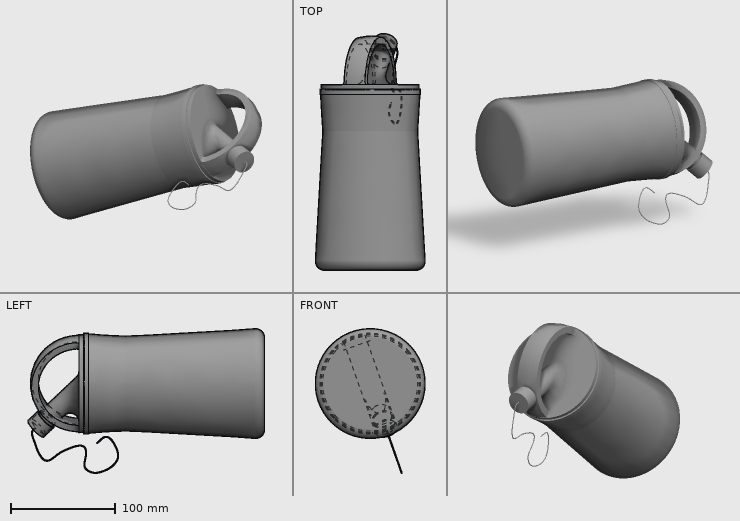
import cadquery as cq
import math

base_radius = 52.75
base_rounding = 9.0
waist_radius = 45.6
waist_height = 133.3
shoulder_radius = 47.8
shoulder_height = 168.9
neck_radius = 47.4
neck_height = 4.0

rim_radius = 48.4
rim_height = 4.9
disc_radius = 47.0
disc_height = 4.4
lid_top = shoulder_height + rim_height + disc_height

handle_inner_radius = 38.8
handle_edge_radius = 45.3
handle_crown_radius = 46.7
handle_half_width = 10.7
handle_foot_fillet = 2.8

spout_radius = 9.5
spout_lean = 45.0
spout_foot_offset = 4.7
spout_foot_fillet = 8.3
spout_handle_fillet = 1.2

cap_radius = 11.0
cap_start = 44.7
cap_length = 13.6
cap_end_wall = 3.0
cap_end = cap_start + cap_length
spout_end = cap_end - cap_end_wall

cord_radius = 0.5

plane_turn = math.radians(19.4)
cord_side = cq.Vector(math.sin(plane_turn), 0, -math.cos(plane_turn))
across = cq.Vector(math.cos(plane_turn), 0, math.sin(plane_turn))
handle_plane = cq.Plane(origin=(0, lid_top, 0), xDir=cord_side, normal=across)

lean = math.radians(spout_lean)


def along_spout(distance):
    """Point on the spout's axis, in handle-plane coordinates."""
    return (spout_foot_offset + distance * math.cos(lean), distance * math.sin(lean))


def disc_along_y(radius, start, height):
    """Round disc about the bottle's axis, rising from the given height."""
    plane = cq.Plane(origin=(0, start, 0), xDir=(1, 0, 0), normal=(0, 1, 0))
    return cq.Workplane(plane).circle(radius).extrude(height)


def spout_rod(radius, start, end):
    """Round rod on the spout's axis between two distances from the lid top."""
    start_point = handle_plane.toWorldCoords(along_spout(start))
    end_point = handle_plane.toWorldCoords(along_spout(end))
    plane = cq.Plane(origin=start_point, xDir=across, normal=end_point - start_point)
    return cq.Workplane(plane).circle(radius).extrude(end - start)


def make_bottle():
    """Turned body with a rounded base edge and a neck that enters the lid."""
    rounding_turn = math.sqrt(0.5)
    rounding_center = base_radius - base_rounding
    rounding_middle = (
        rounding_center + base_rounding * rounding_turn,
        base_rounding * (1 - rounding_turn),
    )
    return (
        cq.Workplane("XY")
        .lineTo(rounding_center, 0)
        .threePointArc(rounding_middle, (base_radius, base_rounding))
        .lineTo(waist_radius, waist_height)
        .lineTo(shoulder_radius, shoulder_height)
        .lineTo(neck_radius, shoulder_height)
        .lineTo(neck_radius, shoulder_height + neck_height)
        .lineTo(0, shoulder_height + neck_height)
        .close()
        .revolve(360, (0, 0, 0), (0, 1, 0))
    )


def make_lid_disc():
    return disc_along_y(disc_radius, lid_top - disc_height, disc_height)


def make_handle_foot(end):
    """Block at one end of the half ring, its two sides flaring out into the lid disc."""
    flare_turn = handle_foot_fillet * (1 - math.sqrt(0.5))
    foot_half_width = handle_half_width + handle_foot_fillet
    outer_point = cord_side * (end * handle_edge_radius) + cq.Vector(0, lid_top, 0)
    plane = cq.Plane(origin=outer_point, xDir=across, normal=cord_side * -end)
    rise = handle_foot_fillet * plane.yDir.y
    turn_rise = flare_turn * plane.yDir.y
    return (
        cq.Workplane(plane)
        .moveTo(-foot_half_width, 0)
        .threePointArc((-handle_half_width - flare_turn, turn_rise), (-handle_half_width, rise))
        .lineTo(handle_half_width, rise)
        .threePointArc((handle_half_width + flare_turn, turn_rise), (foot_half_width, 0))
        .close()
        .extrude(handle_edge_radius - handle_inner_radius)
    )


def make_handle():
    """Lid disc with the half-ring handle and its two flared feet."""
    section_plane = cq.Plane(origin=(0, lid_top, 0), xDir=cord_side, normal=(0, 1, 0))
    half_ring = (
        cq.Workplane(section_plane)
        .moveTo(handle_inner_radius, -handle_half_width)
        .lineTo(handle_edge_radius, -handle_half_width)
        .threePointArc((handle_crown_radius, 0), (handle_edge_radius, handle_half_width))
        .lineTo(handle_inner_radius, handle_half_width)
        .close()
        .revolve(180, (0, 0, 0), (0, -1, 0))
    )
    return make_lid_disc().union(half_ring).union(make_handle_foot(1)).union(make_handle_foot(-1))


def make_spout():
    """Lid disc with the leaning tube and the broad fillet at its foot."""
    buried = disc_height * 0.5
    tube = spout_rod(spout_radius, -spout_radius, spout_end)
    below_disc = disc_along_y(disc_radius, lid_top - 4 * disc_height, 4 * disc_height - buried)
    foot = handle_plane.toWorldCoords((spout_foot_offset - spout_radius / math.sin(lean), 0))
    foot_edge = cq.selectors.NearestToPointSelector(foot.toTuple())
    return make_lid_disc().union(tube.cut(below_disc)).edges(foot_edge).fillet(spout_foot_fillet)


def make_lid():
    """Rim, disc, handle and spout, with a recess for the bottle's neck.

    A small fillet blends the spout into the inner face of the handle.
    """
    rim = disc_along_y(rim_radius, shoulder_height, rim_height)
    neck_recess = disc_along_y(neck_radius, shoulder_height, neck_height)
    crossing = handle_plane.toWorldCoords(along_spout(handle_inner_radius - spout_foot_offset))
    crossing_edge = cq.selectors.NearestToPointSelector(crossing.toTuple())
    lid = make_handle().union(make_spout())
    lid = lid.edges(crossing_edge).fillet(spout_handle_fillet)
    return lid.union(rim).cut(neck_recess)


def make_cap():
    """Cup over the spout's end, with the cord hanging from its closed end."""
    cup = spout_rod(cap_radius, cap_start, cap_end).cut(
        spout_rod(spout_radius, cap_start, spout_end)
    )
    cord_root = along_spout(cap_end - cap_end_wall / 2)
    cord_points = [
        cord_root,
        (48.4, 44.5),
        (59.4, 42.5),
        (69.9, 38.8),
        (78.4, 31.5),
        (71.3, 19.2),
        (65.6, 8.2),
        (63.4, 1.6),
        (64.0, -4.6),
        (72.5, -6.8),
        (86.0, -6.2),
        (90.6, -13.5),
        (89.2, -23.0),
        (85.0, -30.8),
        (75.0, -37.52),
        (66.0, -36.0),
        (54.3, -25.0),
        (57.3, -20.8),
        (60.6, -17.4),
    ]
    path = cq.Workplane(handle_plane).spline(cord_points)
    root = handle_plane.toWorldCoords(cord_root)
    start_direction = path.val().tangentAt(0)
    root_plane = cq.Plane(origin=root, xDir=across, normal=start_direction)
    cord = cq.Workplane(root_plane).circle(cord_radius).sweep(path)
    return cup.union(cord)


bottle = make_bottle()
lid = make_lid()
cap = make_cap()

result = cq.Compound.makeCompound([bottle.val(), lid.val(), cap.val()])